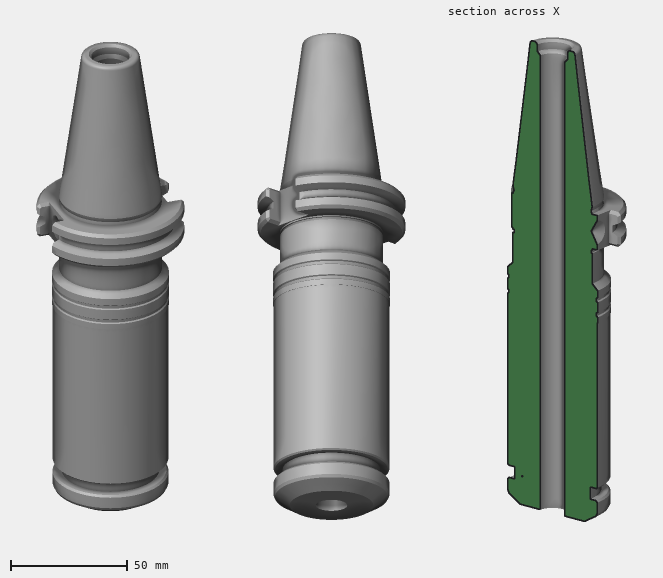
import cadquery as cq
import math

total_length = 212.6

gauge_z = 144.2
taper_large_dia = 44.5
taper_small_dia = 24.9
taper_tip_radius = 1.7
gauge_band = 2.0
undercut_dia = 43.2
undercut_foot_dia = 44.2

flange_dia = 63.5
flange_top_z = 141.0
flange_bottom_z = 125.0
flange_chamfer = 1.3
v_groove_z = 133.1
v_groove_dia = 56.1
v_groove_floor_width = 3.2
v_groove_mouth_width = 6.8

slot_width = 16.0
slot_chamfer = 1.3
front_slot_floor = 24.9
back_slot_floor = 22.8
dimple_dia = 10.6
dimple_angle = 118.0

neck_dia = 44.5
neck_relief_dia = 43.2
neck_relief_top_z = 124.5
neck_relief_bottom_z = 123.1
neck_bottom_z = 109.3

body_dia = 50.0
collar_dia = 50.5
collar_bottom_z = 92.0
body_top_z = 106.8
body_bottom_z = 16.4
body_bottom_chamfer = 0.6
ring_groove_dia = 49.1
ring_groove_width = 2.1
ring_groove_lip = 0.5
ring_groove_tops = (103.5, 96.8)

nut_neck_dia = 42.0
nut_top_z = 11.0
nut_top_chamfer = 0.9
nut_edge_z = 5.0
nut_shoulder_dia = 48.7
nut_shoulder_z = 3.8
nut_face_dia = 36.0

bore_dia = 13.6
counterbore_dia = 16.5
counterbore_depth = 4.3
bore_mouth_dia = 18.7


def turned_body():
    """Revolve the outer half profile, from the nut face up to the rounded taper tip."""
    body_r = body_dia / 2
    profile = [
        (0, 0),
        (nut_face_dia / 2, 0),
        (nut_shoulder_dia / 2, nut_shoulder_z),
        (body_r, nut_edge_z),
        (body_r, nut_top_z - nut_top_chamfer),
        (body_r - nut_top_chamfer, nut_top_z),
        (nut_neck_dia / 2, nut_top_z),
        (nut_neck_dia / 2, body_bottom_z),
        (body_r - body_bottom_chamfer, body_bottom_z),
        (body_r, body_bottom_z + body_bottom_chamfer),
        (body_r, collar_bottom_z),
        (collar_dia / 2, collar_bottom_z),
        (collar_dia / 2, body_top_z),
        (neck_dia / 2, neck_bottom_z),
        (neck_dia / 2, neck_relief_bottom_z),
        (neck_relief_dia / 2, neck_relief_bottom_z),
        (neck_relief_dia / 2, neck_relief_top_z),
        (neck_dia / 2, neck_relief_top_z),
        (neck_dia / 2, flange_top_z),
        (undercut_foot_dia / 2, flange_top_z),
        (undercut_dia / 2, gauge_z - gauge_band),
        (taper_large_dia / 2, gauge_z),
        (taper_small_dia / 2, total_length),
        (0, total_length),
    ]
    solid = cq.Workplane("XZ").polyline(profile).close().revolve(360, (0, 0), (0, 1))
    return solid.faces(">Z").edges().fillet(taper_tip_radius)


def groove_cutter(middle_z, floor_dia, floor_width, outer_dia, side_run):
    """Ring with sloped sides that widen by side_run per side at outer_dia."""
    half = floor_width / 2
    return (
        cq.Workplane("XZ")
        .moveTo(floor_dia / 2, middle_z - half)
        .lineTo(outer_dia / 2, middle_z - half - side_run)
        .lineTo(outer_dia / 2, middle_z + half + side_run)
        .lineTo(floor_dia / 2, middle_z + half)
        .close()
        .revolve(360, (0, 0), (0, 1))
    )


def is_slot_corner(edge):
    """True for the upright edges where a slot wall meets the slot floor."""
    tolerance = 0.02
    y = edge.Center().y
    return min(abs(y + front_slot_floor), abs(y - back_slot_floor)) < tolerance


def flange():
    """Flange disc with two slots, bevelled slot walls and a V groove."""
    thickness = flange_top_z - flange_bottom_z
    disc = (
        cq.Workplane("XY", origin=(0, 0, flange_bottom_z))
        .circle(flange_dia / 2)
        .extrude(thickness)
        .faces("<Z or >Z")
        .edges()
        .chamfer(flange_chamfer)
    )
    for side, floor in ((-1, front_slot_floor), (1, back_slot_floor)):
        slot = cq.Workplane("XY", origin=(0, side * (floor + flange_dia / 2), flange_bottom_z))
        disc = disc.cut(slot.rect(slot_width, flange_dia).extrude(thickness))

    wall_edges = disc.faces("|X").edges().vals()
    open_edges = [edge for edge in wall_edges if not is_slot_corner(edge)]
    disc = disc.newObject(open_edges).chamfer(slot_chamfer)

    groove_run = (v_groove_mouth_width - v_groove_floor_width) / 2
    return disc.cut(groove_cutter(v_groove_z, v_groove_dia, v_groove_floor_width, flange_dia, groove_run))


def dimple():
    """Conical dimple in the floor of the front slot."""
    depth = dimple_dia / 2 / math.tan(math.radians(dimple_angle / 2))
    center = cq.Vector(0, -front_slot_floor, v_groove_z)
    return cq.Workplane(cq.Solid.makeCone(dimple_dia / 2, 0, depth, center, cq.Vector(0, 1, 0)))


def bore():
    """Stepped through bore with a bevelled mouth at the taper tip."""
    step = (counterbore_dia - bore_dia) / 2
    mouth = (bore_mouth_dia - counterbore_dia) / 2
    ledge_z = total_length - counterbore_depth
    profile = [
        (0, 0),
        (bore_dia / 2, 0),
        (bore_dia / 2, ledge_z - step),
        (counterbore_dia / 2, ledge_z),
        (counterbore_dia / 2, total_length - mouth),
        (bore_mouth_dia / 2, total_length),
        (0, total_length),
    ]
    return cq.Workplane("XZ").polyline(profile).close().revolve(360, (0, 0), (0, 1))


result = turned_body().union(flange()).cut(dimple()).cut(bore())

for groove_top in ring_groove_tops:
    result = result.cut(
        groove_cutter(
            groove_top - ring_groove_width / 2,
            ring_groove_dia,
            ring_groove_width - 2 * ring_groove_lip,
            collar_dia,
            ring_groove_lip,
        )
    )